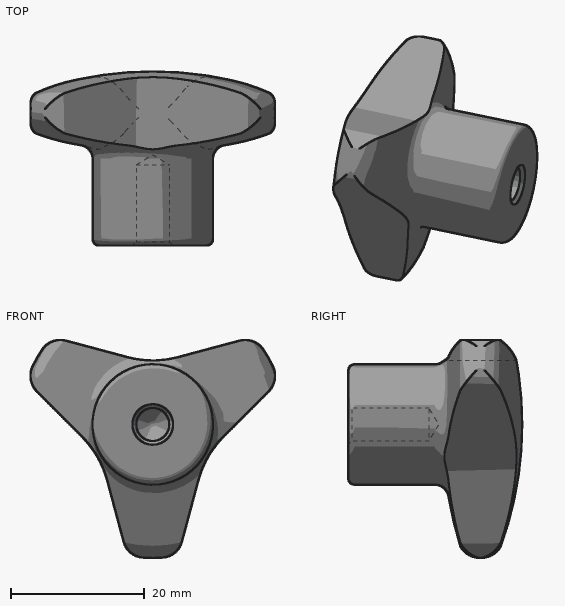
import cadquery as cq
import math

ARM_COUNT = 3
FIRST_ARM_ANGLE = 30
TIP_RADIUS = 19.95
RIM_RADIUS = 18.15
RIM_HALF_THICKNESS = 3.05
BACK_APEX = 6.25
FRONT_APEX = 5.75

BOSS_RADIUS = 18.0 / 2
BOSS_END = 19.75
BOSS_EDGE_RADIUS = 1.0
BOSS_FILLET = 2.0

WAIST_RADIUS = 9.57
VALLEY_ARC = 14.6
ARM_TAPER = 15
TIP_CORNER = 3.3

HOLE_DIAMETER = 4.95
HOLE_MOUTH_DIAMETER = 6.05
HOLE_DEPTH = 12.05
DRILL_POINT_ANGLE = 118


def dome_radius(apex):
    """Radius of the sphere through the apex and the rim."""
    drop = apex - RIM_HALF_THICKNESS
    return (RIM_RADIUS**2 + drop**2) / (2 * drop)


def on_circle(center, radius, degrees):
    angle = math.radians(degrees)
    return (center[0] + radius * math.cos(angle), center[1] + radius * math.sin(angle))


def turned_body():
    """Domed disc and boss as one turned solid."""
    back_radius = dome_radius(BACK_APEX)
    back_center = (0, BACK_APEX - back_radius)
    back_edge = math.degrees(math.acos(RIM_RADIUS / back_radius))
    back_middle = on_circle(back_center, back_radius, (90 + back_edge) / 2)

    front_radius = dome_radius(FRONT_APEX)
    front_center = (0, front_radius - FRONT_APEX)
    front_edge = -math.degrees(math.acos(RIM_RADIUS / front_radius))

    fillet_x = BOSS_RADIUS + BOSS_FILLET
    center_angle = -math.degrees(math.acos(fillet_x / (front_radius + BOSS_FILLET)))
    fillet_center = on_circle(front_center, front_radius + BOSS_FILLET, center_angle)
    fillet_start = on_circle(front_center, front_radius, center_angle)
    fillet_middle = on_circle(fillet_center, BOSS_FILLET, (center_angle + 360) / 2)
    front_middle = on_circle(front_center, front_radius, (front_edge + center_angle) / 2)

    edge_center = (BOSS_RADIUS - BOSS_EDGE_RADIUS, -BOSS_END + BOSS_EDGE_RADIUS)
    profile = (
        cq.Workplane("XY")
        .moveTo(0, BACK_APEX)
        .threePointArc(back_middle, (RIM_RADIUS, RIM_HALF_THICKNESS))
        .threePointArc((TIP_RADIUS, 0), (RIM_RADIUS, -RIM_HALF_THICKNESS))
        .threePointArc(front_middle, fillet_start)
        .threePointArc(fillet_middle, (BOSS_RADIUS, fillet_center[1]))
        .lineTo(BOSS_RADIUS, edge_center[1])
        .threePointArc(on_circle(edge_center, BOSS_EDGE_RADIUS, -45), (edge_center[0], -BOSS_END))
        .lineTo(0, -BOSS_END)
        .close()
    )
    return profile.revolve(360, (0, 0), (0, 1))


def arm_outline():
    """Prism with the three-arm outline, running along Y."""
    half_step = 180 / ARM_COUNT
    normal_angle = 90 - ARM_TAPER

    valley_center = on_circle((0, 0), WAIST_RADIUS + VALLEY_ARC, half_step)
    flank_start = on_circle(valley_center, VALLEY_ARC, normal_angle + 180)
    flank_distance = math.hypot(*flank_start) * math.cos(
        math.atan2(flank_start[1], flank_start[0]) - math.radians(normal_angle)
    )

    corner_reach = TIP_RADIUS - TIP_CORNER
    corner_angle = normal_angle - math.degrees(
        math.acos((flank_distance - TIP_CORNER) / corner_reach)
    )
    corner_center = on_circle((0, 0), corner_reach, corner_angle)
    flank_end = on_circle(corner_center, TIP_CORNER, normal_angle)
    corner_middle = on_circle(corner_center, TIP_CORNER, (normal_angle + corner_angle) / 2)
    corner_end = on_circle((0, 0), TIP_RADIUS, corner_angle)

    def placed(point, arm_angle, side):
        """Point on one side (+1 or -1) of the arm at the given angle."""
        angle = arm_angle + side * math.degrees(math.atan2(point[1], point[0]))
        return on_circle((0, 0), math.hypot(*point), angle)

    arm_angles = [FIRST_ARM_ANGLE + 2 * half_step * i for i in range(ARM_COUNT)]
    outline = cq.Workplane("XZ").moveTo(*placed(flank_start, arm_angles[0], -1))
    for arm in arm_angles:
        valley_middle = on_circle((0, 0), WAIST_RADIUS, arm + half_step)
        next_start = placed(flank_start, arm + 2 * half_step, -1)
        outline = (
            outline.lineTo(*placed(flank_end, arm, -1))
            .threePointArc(placed(corner_middle, arm, -1), placed(corner_end, arm, -1))
            .threePointArc(on_circle((0, 0), TIP_RADIUS, arm), placed(corner_end, arm, 1))
            .threePointArc(placed(corner_middle, arm, 1), placed(flank_end, arm, 1))
            .lineTo(*placed(flank_start, arm, 1))
            .threePointArc(valley_middle, next_start)
        )
    return outline.close().extrude(BOSS_END + BACK_APEX, both=True)


def blind_hole():
    """Drilled hole with a chamfered mouth and a conical bottom."""
    radius = HOLE_DIAMETER / 2
    mouth_radius = HOLE_MOUTH_DIAMETER / 2
    chamfer_depth = mouth_radius - radius
    floor = HOLE_DEPTH - BOSS_END
    point_height = radius / math.tan(math.radians(DRILL_POINT_ANGLE / 2))
    profile = (
        cq.Workplane("XY")
        .moveTo(0, -BOSS_END)
        .lineTo(mouth_radius, -BOSS_END)
        .lineTo(radius, -BOSS_END + chamfer_depth)
        .lineTo(radius, floor)
        .lineTo(0, floor + point_height)
        .close()
    )
    return profile.revolve(360, (0, 0), (0, 1))


result = turned_body().intersect(arm_outline()).cut(blind_hole())